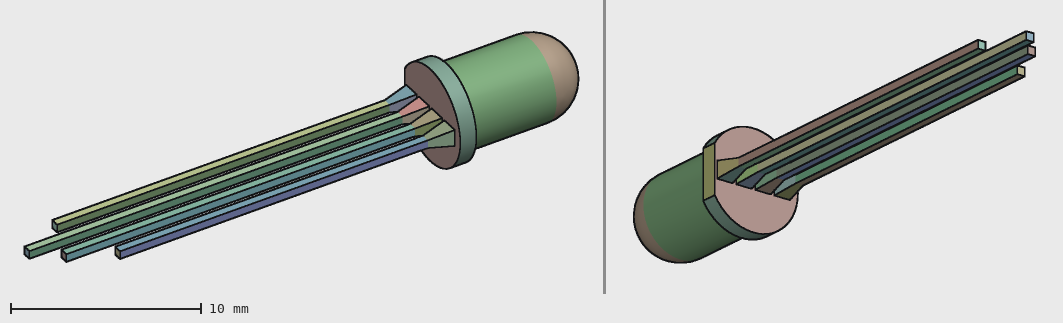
import cadquery as cq

lens_radius = 2.45
lens_height = 8.7
flange_radius = 2.95
flange_thickness = 1.0
flat_distance = 2.55

overall_length = 33.2
lead_pitch = 1.25
lead_width = 0.5
root_width = 1.03
root_length = 1.5
longest_lead = overall_length - lens_height
lead_lengths = [22.0, longest_lead, 23.0, 20.5]


def make_lens():
    """Domed lens with a flange that is cut flat on its -X side."""
    dome_start = lens_height - lens_radius
    dome_middle = lens_radius * 0.5 ** 0.5
    profile = (
        cq.Workplane("XY")
        .lineTo(flange_radius, 0)
        .lineTo(flange_radius, flange_thickness)
        .lineTo(lens_radius, flange_thickness)
        .lineTo(lens_radius, dome_start)
        .threePointArc((dome_middle, dome_start + dome_middle), (0, lens_height))
        .close()
    )
    body = profile.revolve(360, (0, 0, 0), (0, 1, 0))

    trim = cq.Workplane("XY").box(
        flange_radius, flange_thickness, 2 * flange_radius, centered=(False, False, True)
    )
    return body.cut(trim.translate((-flat_distance - flange_radius, 0, 0)))


def make_lead(x, length):
    """Square lead running toward -Y from the base face, with its tapered root."""
    root = (
        cq.Workplane("XZ")
        .center(x, 0)
        .rect(root_width, root_width)
        .workplane(offset=root_length)
        .rect(lead_width, lead_width)
        .loft(ruled=True)
    )
    wire = (
        cq.Workplane("XZ")
        .workplane(offset=root_length)
        .center(x, 0)
        .rect(lead_width, lead_width)
        .extrude(length - root_length)
    )
    return root.union(wire)


lens = make_lens()

leads = []
first_lead_x = -lead_pitch * (len(lead_lengths) - 1) / 2
for index, length in enumerate(lead_lengths):
    leads.append(make_lead(first_lead_x + index * lead_pitch, length))

result = cq.Compound.makeCompound([lens.val(), *[lead.val() for lead in leads]])